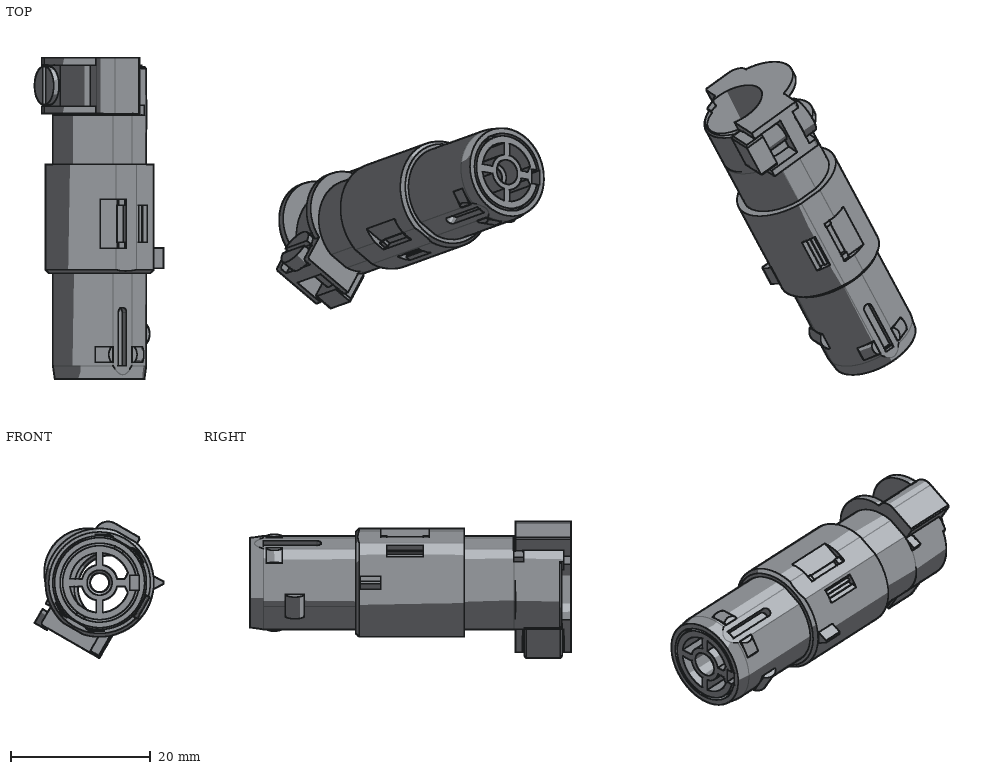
import cadquery as cq
import math

TILT = 30.0
LENGTH = 45.95

BODY_RADIUS = 6.7
BODY_END = 37.72
NOSE_LENGTH = 1.95
NOSE_RADIUS = 6.45
BODY_FLAT = 6.52
SLOT_WIDTH = 1.35
SLOT_END = 10.2
SLOT_DEPTH = 1.25

INSERT_RADIUS = 5.3
GAP_RADIUS = 5.65
GAP_DEPTH = 1.85
HUB_RADIUS = 2.57
WINDOW_RADIUS = 4.27
UPRIGHT_SPOKE = 0.95
LEVEL_SPOKE = 1.1
BORE_RADIUS = 1.35
COUNTERBORE_RADIUS = 1.8
COUNTERBORE_DEPTH = 3.2
COUNTERBORE_CONE = 0.4
KEYWAY_INNER = 4.3
KEYWAY_WIDTH = 2.1
KEYWAY_DEPTH = 2.75
KEYWAY_PAD = [(3.6, 0.55), (4.1, 1.5), (4.35, 1.75)]

BUMP_Y = 3.5
BUMP_LENGTH = 2.25
BUMP_TOP = 6.95
BUMP_INNER_END = 0.65
BUMP_OUTER_END = 2.0
BUMP_SPREAD = 30.0
BUMP_FLAT = 6.65
SIDE_BUMP_Y = 6.45
SIDE_BUMP_LENGTH = 2.65
SIDE_BUMP_TOP = 7.25
SIDE_BUMP_HALF_WIDTH = 1.8
BUMP_BASE = 6.45

SLEEVE_RADIUS = 7.75
SLEEVE_START = 15.1
SLEEVE_END = 30.7
SLEEVE_CHAMFER = 0.5
SLEEVE_FLAT = 7.6
WEDGE_START = 15.8
WEDGE_END = 18.75
WEDGE_TIP = 9.15
WEDGE_TIP_HALF = 0.2
WEDGE_BASE_HALF = 1.0
LATCH_Y = 22.2
LATCH_FLOOR = 6.75
LATCH_WALL = 0.05
LATCH_LENGTH = 7.0
CATCH_WALL = 2.15
CATCH_LENGTH = 5.25
CATCH_SLIT = (2.65, 3.3)
CATCH_FLOOR = 6.6
CATCH_SLIT_DEPTH = 0.35
LEDGE_WIDTH = 1.0
LEDGE_HEIGHT = 0.4
SEAT_DEPTH = 0.15

CLAMP_START = 37.95
CLAMP_MID = (CLAMP_START + LENGTH) / 2
FLANGE_THICKNESS = 1.05
FLANGE_RADIUS = 6.35
FLANGE_CENTRE = (-2.1, 0.45)
CLAMP_LEFT = -4.3
CLAMP_RIGHT = 3.7
CLAMP_BOTTOM = -9.37
CLAMP_CORNER = 0.35
SADDLE_CENTRE = (2.5, 0.45)
SADDLE_RADIUS = 8.05
CABLE_CENTRE = (1.65, 0.15)
CABLE_RADIUS = 4.6
CABLE_CHAMFER = 0.55
TAB_TOP = 8.45
TAB_RIGHT = 1.85
TAB_BOTTOM = 5.5
TAB_ROUND = 1.98
TAB_CORNER = 0.25
ARM_LEFT = 3.68
ARM_END = 44.6
ARM_CHAMFER = 0.28
LUG_TOP = 6.35
LUG_END = 39.15
WEB_TOP = -6.65
WEB_LEFT = -3.12
WEB_RIGHT = -0.9

SCREW_HEIGHT = -6.9
HEAD_RADIUS = 2.75
HEAD_LEFT = -5.2
SCREW_SLOT_WIDTH = 0.87
SCREW_SLOT_DEPTH = 0.87
SHANK_RADIUS = 1.4
NUT_LEFT = 2.5
NUT_RIGHT = 5.38
NUT_TOP = -4.6
NUT_WIDTH = 5.45
NUT_CORNER = 0.28


def section(start):
    """Workplane across the connector at y = start, with local Y pointing up."""
    return cq.Workplane("XZ", origin=(0, start, 0))


def cylinder(radius, start, end, centre=(0, 0)):
    """Cylinder along Y; the section plane faces -Y, so the extrusion is negative."""
    return section(start).center(*centre).circle(radius).extrude(start - end)


def block(x0, x1, y0, y1, z0, z1):
    return cq.Workplane("XY").box(x1 - x0, y1 - y0, z1 - z0, centered=False).translate((x0, y0, z0))


def turn(shape, angle):
    return shape.rotate((0, 0, 0), (0, 1, 0), angle)


def both_sides(shape):
    """The shape together with its mirror image below the axis."""
    return shape.union(shape.mirror("XY"))


def trim_flats(shape, height, half_width):
    """Cut flats at +height and -height along the whole shape, no wider than given."""
    above = block(-half_width, half_width, 0, LENGTH, height, 2 * height)
    return shape.cut(both_sides(above))


def bump(top, y, length, x0, x1):
    """Segment of a cylinder along X, rising to `top` and as long as `length` at the body surface."""
    rise = top - BODY_RADIUS
    radius = ((length / 2) ** 2 + rise**2) / (2 * rise)
    rod = cq.Workplane("YZ", origin=(x0, y, top - radius)).circle(radius).extrude(x1 - x0)
    return rod.intersect(block(x0, x1, y - length / 2, y + length / 2, BUMP_BASE, top))


def make_body():
    outline = [
        (0, 0),
        (NOSE_RADIUS, 0),
        (BODY_RADIUS, NOSE_LENGTH),
        (BODY_RADIUS, BODY_END),
        (0, BODY_END),
    ]
    body = cq.Workplane("XY").polyline(outline).close().revolve(360, (0, 0, 0), (0, 1, 0))
    left = turn(bump(BUMP_TOP, BUMP_Y, BUMP_LENGTH, -BUMP_INNER_END, BUMP_OUTER_END), -BUMP_SPREAD)
    bumps = both_sides(left.union(left.mirror("YZ")))
    body = body.union(trim_flats(bumps, BUMP_FLAT, BODY_RADIUS))
    body = trim_flats(body, BODY_FLAT, math.sqrt(BODY_RADIUS**2 - BODY_FLAT**2))
    side = bump(SIDE_BUMP_TOP, SIDE_BUMP_Y, SIDE_BUMP_LENGTH, -SIDE_BUMP_HALF_WIDTH, SIDE_BUMP_HALF_WIDTH)
    return body.union(turn(side, 90))


def make_body_slots():
    """Narrow slots along both flats, square at the front and round at the back."""
    half = SLOT_WIDTH / 2
    slot = (
        cq.Workplane("XY", origin=(0, 0, BODY_FLAT - SLOT_DEPTH))
        .moveTo(-half, NOSE_LENGTH)
        .lineTo(half, NOSE_LENGTH)
        .lineTo(half, SLOT_END - half)
        .threePointArc((0, SLOT_END), (-half, SLOT_END - half))
        .close()
        .extrude(2 * SLOT_DEPTH)
    )
    return both_sides(slot)


def make_sleeve():
    sleeve = cylinder(SLEEVE_RADIUS, SLEEVE_START, SLEEVE_END)
    sleeve = sleeve.faces("<Y").edges().chamfer(SLEEVE_CHAMFER)
    return trim_flats(sleeve, SLEEVE_FLAT, SLEEVE_RADIUS).cut(make_latch_pockets())


def latch_block(x0, x1, length, z0, z1):
    """Block centred on the latch along the connector."""
    return block(x0, x1, LATCH_Y - length / 2, LATCH_Y + length / 2, z0, z1)


def make_latch_pockets():
    """Flat-floored latch pocket with a ledge at each end, and the narrower catch pocket beside it."""
    ledge_left = LATCH_WALL - LEDGE_WIDTH
    latch = latch_block(-SLEEVE_RADIUS, LATCH_WALL, LATCH_LENGTH, LATCH_FLOOR, SLEEVE_RADIUS)
    for start in (LATCH_Y - LATCH_LENGTH / 2, LATCH_Y + CATCH_LENGTH / 2):
        end = start + (LATCH_LENGTH - CATCH_LENGTH) / 2
        ledge = block(ledge_left, LATCH_WALL, start, end, LATCH_FLOOR, LATCH_FLOOR + LEDGE_HEIGHT)
        latch = latch.cut(ledge)
    seat = latch_block(ledge_left, LATCH_WALL, CATCH_LENGTH, LATCH_FLOOR - SEAT_DEPTH, LATCH_FLOOR)
    catch = latch_block(CATCH_WALL, SLEEVE_RADIUS, CATCH_LENGTH, CATCH_FLOOR, SLEEVE_RADIUS)
    slit = latch_block(*CATCH_SLIT, CATCH_LENGTH, CATCH_FLOOR - CATCH_SLIT_DEPTH, CATCH_FLOOR)
    return both_sides(latch.union(seat).union(catch).union(slit))


def make_wedge():
    """Pointer on the +X side of the sleeve."""
    outline = [
        (BODY_RADIUS, -WEDGE_BASE_HALF),
        (SLEEVE_FLAT, -WEDGE_BASE_HALF),
        (WEDGE_TIP, -WEDGE_TIP_HALF),
        (WEDGE_TIP, WEDGE_TIP_HALF),
        (SLEEVE_FLAT, WEDGE_BASE_HALF),
        (BODY_RADIUS, WEDGE_BASE_HALF),
    ]
    return section(WEDGE_START).polyline(outline).close().extrude(WEDGE_START - WEDGE_END)


def make_insert_cuts():
    """Ring gap, four windows between the spokes, stepped bore and keyway."""
    gap = cylinder(GAP_RADIUS, 0, GAP_DEPTH).cut(cylinder(INSERT_RADIUS, 0, GAP_DEPTH))
    windows = cylinder(WINDOW_RADIUS, 0, BODY_END).cut(cylinder(HUB_RADIUS, 0, BODY_END))
    windows = windows.cut(
        block(-UPRIGHT_SPOKE / 2, UPRIGHT_SPOKE / 2, 0, BODY_END, -BODY_RADIUS, BODY_RADIUS)
    )
    windows = windows.cut(
        block(-BODY_RADIUS, BODY_RADIUS, 0, BODY_END, -LEVEL_SPOKE / 2, LEVEL_SPOKE / 2)
    )
    lower_pad = [(x, -z) for x, z in reversed(KEYWAY_PAD)]
    windows = windows.cut(section(0).polyline(KEYWAY_PAD + lower_pad).close().extrude(-BODY_END))
    counterbore = cylinder(COUNTERBORE_RADIUS, 0, COUNTERBORE_DEPTH)
    counterbore = counterbore.faces(">Y").chamfer(COUNTERBORE_CONE)
    bore = cylinder(BORE_RADIUS, 0, BODY_END).union(counterbore)
    keyway = block(
        KEYWAY_INNER, GAP_RADIUS, 0, KEYWAY_DEPTH, -KEYWAY_WIDTH / 2, KEYWAY_WIDTH / 2
    )
    return gap.union(windows).union(bore).union(keyway)


def make_flange(start):
    """One clamp end plate: a round left side running into the square foot."""
    end = start + FLANGE_THICKNESS
    foot = block(CLAMP_LEFT, CLAMP_RIGHT, start, end, CLAMP_BOTTOM, 0)
    foot = foot.edges("|Y and <X and <Z").fillet(CLAMP_CORNER)
    neck = block(FLANGE_CENTRE[0], TAB_RIGHT, start, end, 0, TAB_BOTTOM)
    return cylinder(FLANGE_RADIUS, start, end, FLANGE_CENTRE).union(foot).union(neck)


def make_tab():
    """Finger tab over the top of the clamp, with a large round on its left shoulder."""
    tab = block(CLAMP_LEFT, TAB_RIGHT, CLAMP_START, LENGTH, TAB_BOTTOM, TAB_TOP)
    tab = tab.edges("|Y and <X and >Z").fillet(TAB_ROUND)
    return tab.edges("|Y and >X and >Z").chamfer(TAB_CORNER)


def make_saddle():
    """Drum between the flanges, with the wall under the tab and the web behind the screw head."""
    start = CLAMP_START + FLANGE_THICKNESS
    end = LENGTH - FLANGE_THICKNESS
    drum = cylinder(SADDLE_RADIUS, start, end, SADDLE_CENTRE)
    limit = block(-BODY_RADIUS, CLAMP_RIGHT, start, end, -BODY_RADIUS, BODY_RADIUS)
    drum = drum.intersect(limit).intersect(cylinder(BODY_RADIUS, start, end))
    wall = block(CLAMP_LEFT, 0, start, end, 0, TAB_BOTTOM)
    upper_web = block(CLAMP_LEFT, 0, start, end, WEB_TOP, 0)
    lower_web = block(WEB_LEFT, WEB_RIGHT, start, end, CLAMP_BOTTOM, WEB_TOP)
    return drum.union(wall).union(upper_web).union(lower_web)


def make_screw_and_nut():
    head = cq.Workplane("YZ", origin=(HEAD_LEFT, CLAMP_MID, SCREW_HEIGHT))
    head = head.circle(HEAD_RADIUS).extrude(WEB_LEFT - HEAD_LEFT)
    slot = block(
        HEAD_LEFT, HEAD_LEFT + SCREW_SLOT_DEPTH, CLAMP_MID - HEAD_RADIUS, CLAMP_MID + HEAD_RADIUS,
        SCREW_HEIGHT - SCREW_SLOT_WIDTH / 2, SCREW_HEIGHT + SCREW_SLOT_WIDTH / 2,
    )
    shank = cq.Workplane("YZ", origin=(WEB_LEFT, CLAMP_MID, SCREW_HEIGHT))
    shank = shank.circle(SHANK_RADIUS).extrude(NUT_RIGHT - WEB_LEFT)
    nut = block(
        NUT_LEFT, NUT_RIGHT, CLAMP_MID - NUT_WIDTH / 2, CLAMP_MID + NUT_WIDTH / 2, CLAMP_BOTTOM, NUT_TOP
    )
    nut = nut.edges("(|Z and >X) or (|X and <Z)").chamfer(NUT_CORNER)
    return head.cut(slot).union(shank).union(nut)


def make_arm():
    """Part of the body wall that runs on past the body end and carries the clamp."""
    arm = cylinder(BODY_RADIUS, BODY_END, ARM_END).faces(">Y").edges().chamfer(ARM_CHAMFER)
    arm = arm.intersect(block(ARM_LEFT, BODY_RADIUS, BODY_END, ARM_END, -BODY_RADIUS, BODY_RADIUS))
    return arm.union(block(TAB_RIGHT, CLAMP_RIGHT, BODY_END, LUG_END, 0, LUG_TOP))


def make_clamp():
    clamp = make_saddle().union(make_tab()).union(make_arm())
    for start in (CLAMP_START, LENGTH - FLANGE_THICKNESS):
        clamp = clamp.union(make_flange(start))
    passage = cylinder(CABLE_RADIUS, BODY_END, LENGTH, CABLE_CENTRE)
    mouth = section(CLAMP_START).center(*CABLE_CENTRE).circle(CABLE_RADIUS + CABLE_CHAMFER)
    mouth = mouth.extrude(-CABLE_CHAMFER, taper=45)
    return clamp.cut(passage).cut(mouth).union(make_screw_and_nut())


upright = make_body().cut(make_body_slots()).union(make_sleeve()).union(make_clamp())
result = turn(upright, TILT).union(make_wedge())
result = result.cut(make_insert_cuts())